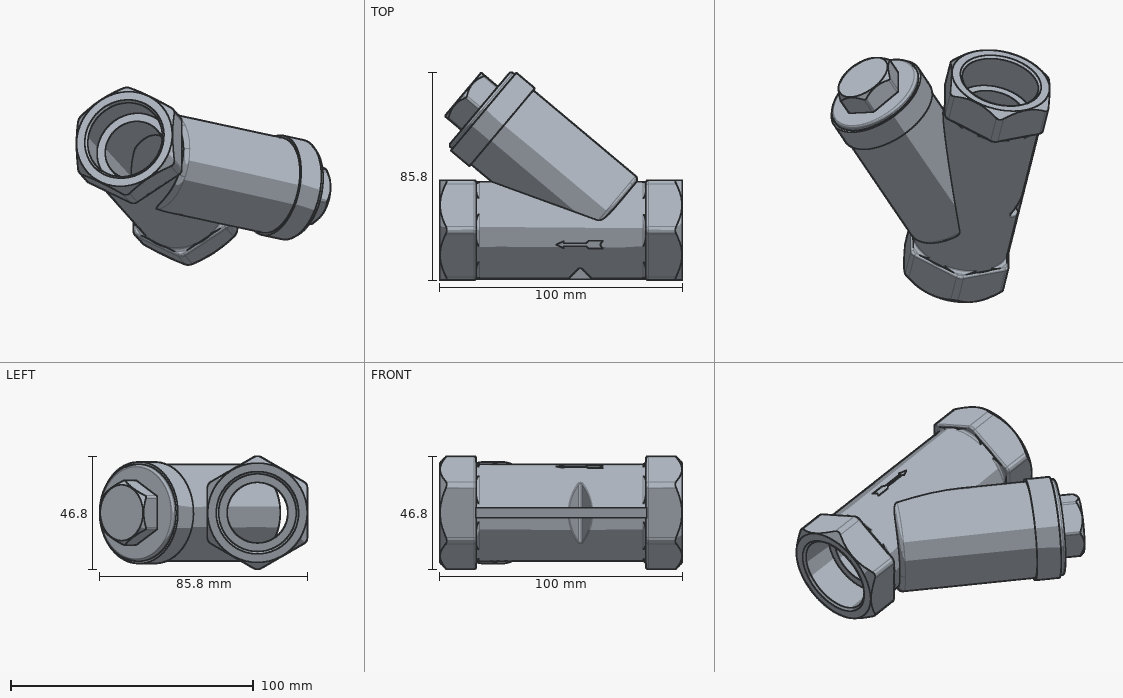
import cadquery as cq
import math

run_length = 100.0
run_diameter = 40.0
run_bore = 25.0
socket_diameter = 32.0
socket_depth = 15.0
socket_chamfer = 1.0

hex_across_flats = 41.3
hex_length = 15.0
hex_corner_radius = 3.0
hex_face_diameter = 41.0
hex_back_round = 1.0
flare_radius = 1.3

branch_angle = 40.0
branch_crossing_x = 26.3
branch_start = 9.1
branch_diameter = run_diameter
branch_end_round = 2.0
collar_diameter = 42.0
collar_start = 66.0
collar_length = 10.0
cap_diameter = 40.0
cap_thickness = 2.1
cap_round = 1.0

head_across_flats = 23.4
head_length = 9.0
head_corner_radius = 1.2
head_face_diameter = 23.0

rib_width = 4.0
rib_top = 20.3
rib_root = 14.0
notch_x = 7.9
notch_root_y = 15.2
notch_root_round = 1.0
notch_edge_round = 0.6

arrow_tip_x = -2.0
arrow_y = -6.0
arrow_length = 19.2
arrow_head_length = 3.1
arrow_head_width = 2.9
arrow_shaft_width = 1.2
arrow_tail_length = 5.8
arrow_tail_width = 3.3
arrow_tail_slant = 1.1
arrow_depth = 0.1

run_radius = run_diameter / 2
half_length = run_length / 2
center_tolerance = 0.01
hex_corner_scale = 1 / math.cos(math.radians(30))


def hex_prism(across_flats, length, corner_radius):
    """Hexagonal prism along +Z from the origin, with rounded corners, two of them on X."""
    prism = cq.Workplane("XY").polygon(6, across_flats * hex_corner_scale).extrude(length)
    return prism.edges("|Z").fillet(corner_radius)


def face_cone(face_diameter, length, overall_diameter):
    """Envelope along Z with a 45 degree bevel down to face_diameter at the far end."""
    outer = overall_diameter / 2
    bevel = outer - face_diameter / 2
    return cq.Workplane("XY").circle(outer).extrude(length).faces(">Z").chamfer(bevel)


def hex_end():
    """End hexagon along +Z, its outer face on top, with a flared root below it."""
    envelope_diameter = hex_across_flats * hex_corner_scale
    prism = hex_prism(hex_across_flats, hex_length, hex_corner_radius)
    nut = prism.faces("<Z").edges().fillet(hex_back_round)
    nut = nut.intersect(face_cone(hex_face_diameter, hex_length, envelope_diameter))
    flare = (
        cq.Workplane("XZ")
        .moveTo(0, -flare_radius)
        .lineTo(run_radius, -flare_radius)
        .radiusArc((run_radius + flare_radius, 0), flare_radius)
        .lineTo(run_radius + flare_radius, hex_back_round)
        .lineTo(0, hex_back_round)
        .close()
        .revolve(360, (0, 0, 0), (0, 1, 0))
    )
    clip = hex_prism(
        hex_across_flats - 2 * hex_back_round,
        flare_radius + hex_back_round,
        hex_corner_radius - hex_back_round,
    )
    return nut.union(flare.intersect(clip.translate((0, 0, -flare_radius))))


def socket():
    """Cutter along +Z for one socket, its chamfered mouth on top."""
    bore = cq.Workplane("XY").circle(socket_diameter / 2).extrude(socket_depth)
    mouth = (
        cq.Workplane("XY", origin=(0, 0, socket_depth))
        .circle(socket_diameter / 2 + socket_chamfer)
        .workplane(offset=-socket_chamfer)
        .circle(socket_diameter / 2)
        .loft()
    )
    return bore.union(mouth)


def at_both_ends(shape, length):
    """Place a shape built along +Z at both ends of the run, its top on the end face."""
    right = shape.translate((0, 0, half_length - length)).rotate((0, 0, 0), (0, 1, 0), 90)
    return right.union(right.mirror("YZ"))


def notch():
    """V groove of 90 degrees across the -Y side, with a rounded root and rounded rims."""
    groove = (
        cq.Workplane("XY", origin=(notch_x, -notch_root_y, -run_radius))
        .polyline([(0, 0), (-run_radius, -run_radius), (run_radius, -run_radius)])
        .close()
        .extrude(run_diameter)
    )
    return groove.edges("|Z and >Y").fillet(notch_root_round)


def rib():
    """Flat-topped rib along -Y, reaching into the rounded backs of both hexagons."""
    length = run_length - 2 * (hex_length - hex_back_round)
    return cq.Workplane("XY").box(length, rib_top - rib_root, rib_width).translate(
        (0, -(rib_top + rib_root) / 2, 0)
    )


def tilt(upright):
    """Swing a shape built along +Z onto the branch axis, its +X side turning to +Z."""
    along_run = upright.rotate((0, 0, 0), (0, 1, 0), -90)
    return along_run.rotate((0, 0, 0), (0, 0, 1), -branch_angle).translate((branch_crossing_x, 0, 0))


def barrel():
    """Plain branch cylinder, turned so that its seam lies inside the run."""
    upright = (
        cq.Workplane("XY", origin=(0, 0, branch_start))
        .circle(branch_diameter / 2)
        .extrude(collar_start + collar_length - branch_start)
    )
    return tilt(upright.rotate((0, 0, 0), (0, 0, 1), -90))


def strainer_cap():
    """Collar, cap and hexagonal head on the outer end of the branch."""
    collar_end = collar_start + collar_length
    cap_end = collar_end + cap_thickness
    collar = (
        cq.Workplane("XY", origin=(0, 0, collar_start)).circle(collar_diameter / 2).extrude(collar_length)
    )
    cap = (
        cq.Workplane("XY", origin=(0, 0, collar_end))
        .circle(cap_diameter / 2)
        .extrude(cap_thickness)
        .faces(">Z")
        .edges()
        .fillet(cap_round)
    )
    corner_diameter = head_across_flats * hex_corner_scale
    head = hex_prism(head_across_flats, head_length, head_corner_radius)
    head = head.intersect(face_cone(head_face_diameter, head_length, corner_diameter))
    return tilt(collar.union(cap).union(head.translate((0, 0, cap_end))))


def casting():
    """Run cylinder joined to the branch cylinder, with the inner end of the branch rounded."""
    run = cq.Workplane("YZ").circle(run_radius).extrude(half_length - hex_length, both=True)
    joined = run.union(barrel())
    angle = math.radians(branch_angle)
    end_center = cq.Vector(
        branch_crossing_x - branch_start * math.cos(angle), branch_start * math.sin(angle), 0
    )
    end_edges = [
        edge
        for edge in joined.edges("%CIRCLE").vals()
        if (edge.arcCenter() - end_center).Length < center_tolerance
    ]
    return joined.newObject(end_edges).fillet(branch_end_round)


def arrow():
    """Thin layer under the run surface, bounded by the arrow outline."""
    tail_start = arrow_length - arrow_tail_length
    upper = [
        (arrow_head_length, arrow_head_width / 2),
        (arrow_head_length, arrow_shaft_width / 2),
        (tail_start - arrow_tail_slant, arrow_shaft_width / 2),
        (tail_start, arrow_tail_width / 2),
        (arrow_length, arrow_tail_width / 2),
    ]
    lower = [(x, -y) for x, y in reversed(upper)]
    notch_point = (arrow_length - arrow_tail_slant, 0)
    outline = (
        cq.Workplane("XY", origin=(arrow_tip_x, arrow_y, 0))
        .polyline([(0, 0)] + upper + [notch_point] + lower)
        .close()
        .extrude(run_diameter)
    )
    core = cq.Workplane("YZ").circle(run_radius - arrow_depth).extrude(half_length, both=True)
    return outline.cut(core)


notch_zone = cq.selectors.BoxSelector(
    (notch_x - run_radius / 2, -run_diameter, -run_radius),
    (notch_x + run_radius / 2, -notch_root_y / 2, run_radius),
)
body = casting().cut(notch())
body = body.edges(notch_zone).edges("not |Z").fillet(notch_edge_round)
body = body.union(rib())
body = body.union(at_both_ends(hex_end(), hex_length))

bore = cq.Workplane("YZ").circle(run_bore / 2).extrude(half_length, both=True).cut(barrel())
body = body.cut(bore)
body = body.cut(at_both_ends(socket(), socket_depth))
body = body.cut(arrow())
result = body.union(strainer_cap())